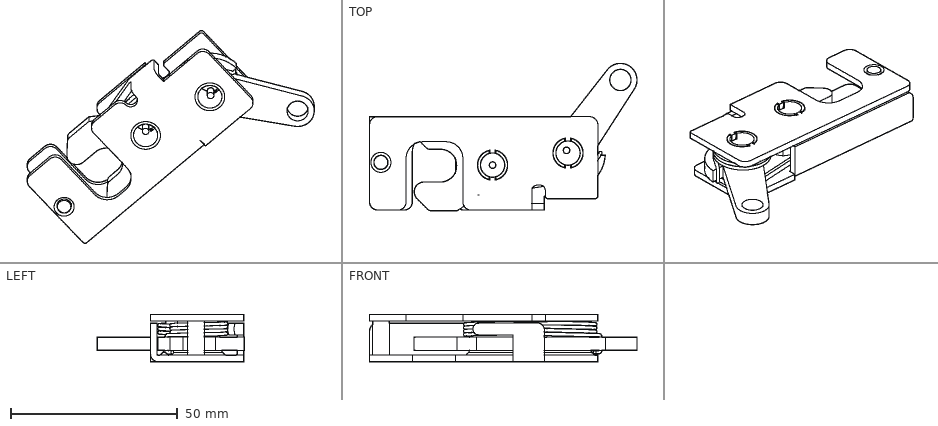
import cadquery as cq
import math

SHEET = 2.0
HEIGHT = 14.2
LENGTH = 68.45
WIDTH = 28.0
COVER_Z = HEIGHT - SHEET
CORNER_R = 2.5
COVER_STEP_Y = 3.4
SLOT_R = 5.0
COVER_SLOT = (11.0, 28.0, 20.5)
FLOOR_SLOT = (12.9, 25.8, 22.5)

PAD_HEIGHT = 1.4
LEVER_Z = SHEET + PAD_HEIGHT
LEVER_T = 4.0
LEVER_TOP = LEVER_Z + LEVER_T

JAW_PIVOT = (36.9, 13.5)
TRIGGER_PIVOT = (59.5, 17.1)
PIVOTS = (JAW_PIVOT, TRIGGER_PIVOT)

BORE_D = 7.2
NECK_D = 8.9
NECK_HOLE_D = 9.1
JOURNAL_D = 10.5
JOURNAL_HOLE_D = 10.8
COLLAR_D = 12.7
KEY_W = 1.6
KEYWAY_W = 2.2
KEY_TIP = 3.62
KEY_ROOT = 0.2

PIN_XY = (3.45, 14.3)
PIN_D = 5.0
PIN_END_D = 4.1
PIN_HOLE_D = 4.3
PIN_SINK_D = 6.0
PIN_SINK_DEPTH = (PIN_SINK_D - PIN_HOLE_D) / 2

FLOOR_STEP_Y = 4.2
WALL_TOP = 11.6
WALL_END_X = 48.0
BEND_IN_R = 0.4
BEND_OUT_R = SHEET + BEND_IN_R
FLOOR_OVERLAP = 1.0
TAB_X0 = 43.0
TAB_X1 = 52.4
TAB_CORNER_R = 2.0
RELIEF_DEPTH = FLOOR_STEP_Y
RELIEF_X0 = 39.0
ARM_Z0 = 8.0
ARM_FOLD_X = 42.35
ARM_TIP_FLAT = 0.01
ARM_END = (31.0, 2.9)

PAD_BASE_R = 8.1
PAD_EDGE_R = 7.2
PAD_TOP_R = 6.85
PAD_SLOPE_H = 0.75

NOTCH_X0 = 48.7
NOTCH_X1 = 52.7
NOTCH_TOP_Y = 7.5
NOTCH_R = 1.6
SMALL_R = 0.8

WIRE_D = 1.0
WIRE_GAP_TOP = 0.1
WIRE_GAP_BOTTOM = 0.05
WIRE_GAP_SIDE = 0.1
COIL_R = 8.2
COIL_TOP_Z = 11.5
COIL_END_Z = LEVER_TOP + WIRE_GAP_TOP + WIRE_D / 2
HOOK_Z = LEVER_Z - WIRE_GAP_BOTTOM - WIRE_D / 2
HOOK_R = 9.75
HOOK_BEND_R = 0.9
HOOK_TAIL = 3.3
FULL_TURNS = 3

CENTRE_PIN_D = 2.0
CENTRE_PINS = (JAW_PIVOT, (59.06, 17.9))


def disc(centre, diameter, z0, z1):
    return cq.Workplane(origin=(centre[0], centre[1], z0)).circle(diameter / 2).extrude(z1 - z0)


def plate(x0, x1, y0, y1, z0, z1):
    size = (x1 - x0, y1 - y0, z1 - z0)
    return cq.Workplane().box(*size, centered=False).translate((x0, y0, z0))


def polar(centre, radius, degrees):
    angle = math.radians(degrees)
    return (centre[0] + radius * math.cos(angle), centre[1] + radius * math.sin(angle))


def round_upright_edge(body, place, z, radius):
    """Fillet the one vertical edge nearest to a place."""
    nearest = cq.selectors.NearestToPointSelector((*place, z + SHEET / 2))
    return body.edges("|Z").edges(nearest).fillet(radius)


def striker_slot(x0, x1, top_y, z0):
    """Slot open to the front edge, with round inner corners and a rounded mouth."""
    r = CORNER_R
    return (
        cq.Workplane(origin=(0, 0, z0))
        .moveTo(x0 - r, 0)
        .radiusArc((x0, r), -r)
        .lineTo(x0, top_y - SLOT_R)
        .radiusArc((x0 + SLOT_R, top_y), SLOT_R)
        .lineTo(x1 - SLOT_R, top_y)
        .radiusArc((x1, top_y - SLOT_R), SLOT_R)
        .lineTo(x1, r)
        .radiusArc((x1 + r, 0), -r)
        .close()
        .extrude(SHEET)
    )


def pin_hole(z0):
    return disc(PIN_XY, PIN_HOLE_D, z0, z0 + SHEET)


def pin_sink(outer_z, inner_z):
    """Cone that opens toward the outer face of a sheet."""
    rim = cq.Workplane(origin=(*PIN_XY, outer_z)).circle(PIN_SINK_D / 2)
    return rim.workplane(offset=inner_z - outer_z).circle(PIN_HOLE_D / 2).loft()


def keys(centre, z0, z1):
    """Two keys in line with Y that reach from the sheet to the bushing bore."""
    x, y = centre
    outer = NECK_HOLE_D / 2 + KEY_ROOT
    rear = plate(x - KEY_W / 2, x + KEY_W / 2, y + KEY_TIP, y + outer, z0, z1)
    front = plate(x - KEY_W / 2, x + KEY_W / 2, y - outer, y - KEY_TIP, z0, z1)
    return rear.union(front)


def pad_layer(r0, r1, z0, z1):
    """Tapered oblong around both pivots, radius r0 at z0 and r1 at z1."""
    span = math.dist(*PIVOTS)
    tilt = math.degrees(math.atan2(TRIGGER_PIVOT[1] - JAW_PIVOT[1], TRIGGER_PIVOT[0] - JAW_PIVOT[0]))
    layer = (
        cq.Workplane(origin=(span / 2, 0, z0))
        .slot2D(span + 2 * r0, 2 * r0)
        .workplane(offset=z1 - z0)
        .slot2D(span + 2 * r1, 2 * r1)
        .loft()
    )
    return layer.rotate((0, 0, 0), (0, 0, 1), tilt).translate((*JAW_PIVOT, 0))


def bent_flange(x0, x1):
    """Floor strip and wall at the front edge, joined by a bend."""
    reach = FLOOR_STEP_Y + FLOOR_OVERLAP
    return (
        cq.Workplane("YZ", origin=(x0, 0, 0))
        .moveTo(reach, 0)
        .lineTo(BEND_OUT_R, 0)
        .radiusArc((0, BEND_OUT_R), BEND_OUT_R)
        .lineTo(0, WALL_TOP)
        .lineTo(SHEET, WALL_TOP)
        .lineTo(SHEET, BEND_OUT_R)
        .radiusArc((BEND_OUT_R, SHEET), -BEND_IN_R)
        .lineTo(reach, SHEET)
        .close()
        .extrude(x1 - x0)
    )


def tab_arm():
    """Arm folded inward from the left edge of the tab, with a full-round tip."""
    run = ARM_FOLD_X - ARM_END[0]
    length = math.hypot(run, ARM_END[1])
    angle = math.degrees(math.atan2(ARM_END[1], run))
    height = WALL_TOP - ARM_Z0
    arm = plate(-length, 0, 0, SHEET, ARM_Z0, WALL_TOP).edges("|Y and <X").fillet(height / 2 - ARM_TIP_FLAT)
    arm = arm.rotate((0, 0, 0), (0, 0, 1), -angle).translate((ARM_FOLD_X, 0, 0))
    wedge = (
        cq.Workplane(origin=(ARM_FOLD_X, 0, ARM_Z0))
        .lineTo(0, SHEET)
        .lineTo(SHEET * math.sin(math.radians(angle)), SHEET * math.cos(math.radians(angle)))
        .close()
        .extrude(height)
    )
    root = plate(ARM_FOLD_X, TAB_X0, 0, SHEET, ARM_Z0, WALL_TOP)
    return arm.union(wedge).union(root)


def make_housing():
    floor = plate(0, LENGTH, 0, WIDTH, 0, SHEET)
    floor = floor.cut(plate(TAB_X0, LENGTH, 0, FLOOR_STEP_Y, 0, SHEET))
    floor = floor.edges("|Z and <X and <Y").fillet(CORNER_R)
    floor = floor.edges("|Z and >X").fillet(CORNER_R)
    floor = floor.cut(plate(0, WALL_END_X, WIDTH - BEND_OUT_R, WIDTH, 0, SHEET))

    relief_r = (TAB_X0 - RELIEF_X0) / 2
    relief_y = RELIEF_DEPTH - relief_r
    floor = floor.cut(plate(RELIEF_X0, TAB_X0, 0, relief_y, 0, SHEET))
    floor = floor.cut(disc((RELIEF_X0 + relief_r, relief_y), 2 * relief_r, 0, SHEET))
    floor = round_upright_edge(floor, (RELIEF_X0, 0), 0, CORNER_R)
    floor = floor.cut(striker_slot(*FLOOR_SLOT, 0))

    back = bent_flange(0, WALL_END_X).edges("|Y and >Z and <X").fillet(CORNER_R)
    back = back.mirror("XZ").translate((0, WIDTH, 0))
    tab = bent_flange(TAB_X0, TAB_X1).edges("|Y and >Z and >X").fillet(TAB_CORNER_R)

    body = floor.union(back).union(tab).union(tab_arm())
    body = body.union(pad_layer(PAD_BASE_R, PAD_EDGE_R, SHEET, SHEET + PAD_SLOPE_H))
    body = body.union(pad_layer(PAD_EDGE_R, PAD_TOP_R, SHEET + PAD_SLOPE_H, LEVER_Z))
    for pivot in PIVOTS:
        body = body.cut(disc(pivot, NECK_D, 0, LEVER_Z))
    return body.cut(pin_hole(0)).cut(pin_sink(0, PIN_SINK_DEPTH))


def make_cover():
    body = plate(0, LENGTH, 0, WIDTH, COVER_Z, HEIGHT)
    body = body.edges("|Z").edges("<X or >Y").fillet(CORNER_R)
    body = body.cut(plate(NOTCH_X1, LENGTH, 0, COVER_STEP_Y, COVER_Z, HEIGHT))
    body = body.edges("|Z and >X").edges("<Y").fillet(SMALL_R)
    notch = plate(NOTCH_X0, NOTCH_X1, -NOTCH_TOP_Y, NOTCH_TOP_Y, COVER_Z, HEIGHT)
    body = body.cut(notch.edges("|Z and >Y").fillet(NOTCH_R))
    body = round_upright_edge(body, (NOTCH_X1, COVER_STEP_Y), COVER_Z, SMALL_R)
    body = body.cut(striker_slot(*COVER_SLOT, COVER_Z))
    for pivot in PIVOTS:
        body = body.cut(disc(pivot, NECK_HOLE_D, COVER_Z, HEIGHT))
        body = body.union(keys(pivot, COVER_Z, HEIGHT))
    return body.cut(pin_hole(COVER_Z)).cut(pin_sink(HEIGHT, HEIGHT - PIN_SINK_DEPTH))


def make_corner_pin():
    end = disc(PIN_XY, PIN_END_D, 0, HEIGHT)
    return disc(PIN_XY, PIN_D, SHEET, COVER_Z).union(end)


def make_bushing(pivot):
    x, y = pivot
    body = disc(pivot, NECK_D, 0, HEIGHT)
    body = body.union(disc(pivot, JOURNAL_D, LEVER_Z, LEVER_TOP))
    body = body.union(disc(pivot, COLLAR_D, LEVER_TOP, COVER_Z))
    body = body.cut(disc(pivot, BORE_D, 0, HEIGHT))
    keyway = plate(x - KEYWAY_W / 2, x + KEYWAY_W / 2, y - NECK_D, y + NECK_D, COVER_Z, HEIGHT)
    return body.cut(keyway)


def make_jaw():
    mouth_top, mouth_bottom = 18.2, 8.45
    mouth_r = (mouth_top - mouth_bottom) / 2
    mouth_x = 21.3
    tip_r = 2.95
    tip = (13.4 + tip_r, mouth_bottom - tip_r)
    chamfer_start = polar(tip, tip_r, 225)
    bottom_y = -0.2
    heel_y = 3.5
    lip_x, lip_top, lip_r = 13.6, 25.7, 2.5
    lip_corner = (17.5, mouth_top)
    lip_corner_r = 1.5
    beak_corner = (chamfer_start[0] + chamfer_start[1] - bottom_y, bottom_y)
    beak_corner_r = 1.45
    seat_y = JAW_PIVOT[1] + HOOK_R - WIRE_GAP_SIDE - WIRE_D / 2
    beak_end = (26.3, bottom_y)
    hollow_start = (26.9, 0.2)
    hollow_end = (31.0, 3.0)
    heel_start, heel_end = (32.1, heel_y), (41.6, heel_y)
    heel_round_end, heel_round_r = (43.2, 4.3), 2.0
    nose_start, nose_tip, nose_end = (46.0, 9.0), (47.0, 13.5), (45.0, 19.5)
    seat_right, seat_left = (39.0, seat_y), (35.6, seat_y)
    shoulder_low, shoulder_high = (33.0, 24.7), (30.0, lip_top)
    body = (
        cq.Workplane(origin=(0, 0, LEVER_Z))
        .moveTo(mouth_x, mouth_top)
        .threePointArc((mouth_x + mouth_r, mouth_top - mouth_r), (mouth_x, mouth_bottom))
        .lineTo(tip[0], mouth_bottom)
        .threePointArc((tip[0] - tip_r, tip[1]), chamfer_start)
        .lineTo(*beak_corner)
        .lineTo(*beak_end)
        .lineTo(*hollow_start)
        .lineTo(*hollow_end)
        .lineTo(*heel_start)
        .lineTo(*heel_end)
        .radiusArc(heel_round_end, -heel_round_r)
        .lineTo(*nose_start)
        .threePointArc(nose_tip, nose_end)
        .lineTo(*seat_right)
        .lineTo(*seat_left)
        .lineTo(*shoulder_low)
        .lineTo(*shoulder_high)
        .lineTo(lip_x + lip_r, lip_top)
        .radiusArc((lip_x, lip_top - lip_r), -lip_r)
        .lineTo(lip_x, lip_corner[1] + lip_corner[0] - lip_x)
        .lineTo(*lip_corner)
        .close()
        .extrude(LEVER_T)
    )
    body = round_upright_edge(body, beak_corner, LEVER_Z, beak_corner_r)
    body = round_upright_edge(body, lip_corner, LEVER_Z, lip_corner_r)
    return body.cut(disc(JAW_PIVOT, JOURNAL_HOLE_D, LEVER_Z, LEVER_TOP))


def make_trigger():
    eye, eye_r, eye_hole_d = (75.2, 38.99), 5.0, 6.3
    rear_angle, front_angle = 52.0, 57.2
    cam_r = 11.2
    ledge_y = 16.5
    rear_tangent = polar(eye, eye_r, rear_angle + 90)
    front_tangent = polar(eye, eye_r, front_angle - 90)
    ledge_x = front_tangent[0] - (front_tangent[1] - ledge_y) / math.tan(math.radians(front_angle))
    cam_start = (
        TRIGGER_PIVOT[0] + math.sqrt(cam_r**2 - (ledge_y - TRIGGER_PIVOT[1]) ** 2),
        ledge_y,
    )
    ux, uy = math.cos(math.radians(rear_angle)), math.sin(math.radians(rear_angle))
    dx, dy = rear_tangent[0] - TRIGGER_PIVOT[0], rear_tangent[1] - TRIGGER_PIVOT[1]
    offset = dx * uy - dy * ux
    run = dx * ux + dy * uy + math.sqrt(cam_r**2 - offset**2)
    cam_end = (rear_tangent[0] - run * ux, rear_tangent[1] - run * uy)
    body = (
        cq.Workplane(origin=(0, 0, LEVER_Z))
        .moveTo(*rear_tangent)
        .threePointArc(polar(eye, eye_r, (rear_angle + front_angle) / 2), front_tangent)
        .lineTo(ledge_x, ledge_y)
        .lineTo(*cam_start)
        .threePointArc(polar(TRIGGER_PIVOT, cam_r, -90), cam_end)
        .close()
        .extrude(LEVER_T)
    )
    body = body.cut(disc(eye, eye_hole_d, LEVER_Z, LEVER_TOP))
    return body.cut(disc(TRIGGER_PIVOT, JOURNAL_HOLE_D, LEVER_Z, LEVER_TOP))


def coil_and_hook(pivot, start_angle, hook_angle, turn):
    """Edges from the top of a coil down to its hook; turn is +1 counterclockwise, -1 clockwise."""
    swing = math.degrees(math.acos(COIL_R / HOOK_R))
    end_angle = hook_angle - turn * swing
    sweep = (turn * (end_angle - start_angle)) % 360 + 360 * FULL_TURNS
    drop = COIL_TOP_Z - COIL_END_Z
    helix = cq.Wire.makeHelix(drop * 360 / sweep, drop, COIL_R, lefthand=turn > 0)
    helix = helix.rotate(cq.Vector(0, 0, 0), cq.Vector(0, 0, 1), end_angle)
    coil = helix.translate(cq.Vector(pivot[0], pivot[1], COIL_END_Z)).Edges()

    leg_start = cq.Vector(*polar(pivot, COIL_R, end_angle), COIL_END_Z)
    corner = cq.Vector(*polar(pivot, HOOK_R, hook_angle), COIL_END_Z)
    outward = (corner - leg_start).normalized()
    down = cq.Vector(0, 0, -1)
    r = HOOK_BEND_R
    diagonal = r * (1 - math.sqrt(0.5))
    bottom = cq.Vector(corner.x, corner.y, HOOK_Z)
    bend_1 = corner - outward * r
    bend_2 = corner + down * r
    bend_3 = bottom - down * r
    bend_4 = bottom - outward * r
    middle_1 = corner - outward * diagonal + down * diagonal
    middle_2 = bottom - outward * diagonal - down * diagonal
    hook = [
        cq.Edge.makeLine(leg_start, bend_1),
        cq.Edge.makeThreePointArc(bend_1, middle_1, bend_2),
        cq.Edge.makeLine(bend_2, bend_3),
        cq.Edge.makeThreePointArc(bend_3, middle_2, bend_4),
        cq.Edge.makeLine(bend_4, bottom - outward * HOOK_TAIL),
    ]
    return coil, hook


def make_spring():
    tilt = math.degrees(math.atan2(TRIGGER_PIVOT[1] - JAW_PIVOT[1], TRIGGER_PIVOT[0] - JAW_PIVOT[0]))
    start_angle = tilt - 90
    jaw_coil, jaw_hook = coil_and_hook(JAW_PIVOT, start_angle, 90, -1)
    trigger_coil, trigger_hook = coil_and_hook(TRIGGER_PIVOT, start_angle, 0, 1)
    bridge_start = cq.Vector(*polar(JAW_PIVOT, COIL_R, start_angle), COIL_TOP_Z)
    bridge_end = cq.Vector(*polar(TRIGGER_PIVOT, COIL_R, start_angle), COIL_TOP_Z)
    bridge = cq.Edge.makeLine(bridge_start, bridge_end)
    path = cq.Wire.assembleEdges([*jaw_hook[::-1], *jaw_coil, bridge, *trigger_coil, *trigger_hook])
    start = jaw_hook[-1].endPoint()
    section = cq.Workplane(cq.Plane(start, normal=jaw_hook[-1].tangentAt(1))).circle(WIRE_D / 2)
    return section.sweep(cq.Workplane(path), transition="transformed")


housing = make_housing()
cover = make_cover()
corner_pin = make_corner_pin()
jaw = make_jaw()
trigger = make_trigger()
spring = make_spring()
bushings = [make_bushing(pivot) for pivot in PIVOTS]
centre_pins = [disc(place, CENTRE_PIN_D, LEVER_Z, LEVER_TOP) for place in CENTRE_PINS]

result = cq.Compound.makeCompound([
    body.solids().val()
    for body in (housing, cover, corner_pin, jaw, trigger, spring, *bushings, *centre_pins)
])